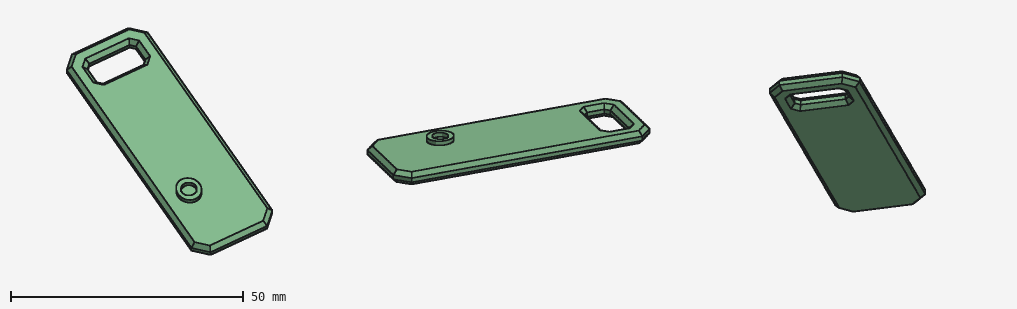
import cadquery as cq

length = 60.0
width = length / 3
thickness = 3.0
corner_cut = 3.0
bevel = thickness / 3

slot_length = 12.0
slot_width = 6.0
slot_corner_cut = 1.0
end_wall = 3.0
slot_x = -length / 2 + end_wall + bevel + slot_width / 2

ring_x = 14.45
ring_y = -3.5
ring_length = 5.95
ring_width = 5.35
ring_bore = 3.4
ring_height = bevel


def cut_corner_block(size_x, size_y, corner):
    """Rectangular block on the XY plane with its four upright edges cut at 45 degrees."""
    return cq.Workplane("XY").box(size_x, size_y, thickness, (True, True, False)).edges("|Z").chamfer(corner)


def bevelled_plate():
    plate = cut_corner_block(length, width, corner_cut)
    slot = cut_corner_block(slot_width, slot_length, slot_corner_cut).translate((slot_x, 0, 0))
    return plate.cut(slot).faces("|Z").edges().chamfer(bevel)


def raised_ring():
    return (
        cq.Workplane("XY", origin=(ring_x, ring_y, thickness))
        .ellipse(ring_length / 2, ring_width / 2)
        .circle(ring_bore / 2)
        .extrude(ring_height)
    )


result = bevelled_plate().union(raised_ring())